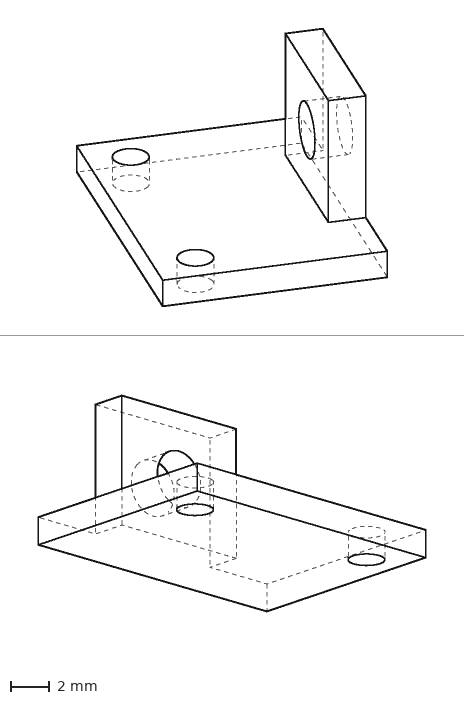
import cadquery as cq

base_length = 16.0
base_width = 12.0
base_thickness = 1.5

total_height = 8.5
tab_length = base_length / 2
tab_thickness = 2.0
tab_hole_diameter = 3.0
tab_hole_height = 4.88

mount_hole_diameter = 1.89
mount_hole_side_inset = 2.0
mount_hole_front_inset = 2.32


def make_base():
    """Flat plate with its front edge on Y = 0, centred on X = 0."""
    return cq.Workplane("XY").box(
        base_length, base_width, base_thickness, centered=(True, False, False)
    )


def make_tab():
    """Upright tab standing on the rear edge, with a hole through it along Y."""
    tab_height = total_height - base_thickness
    tab = (
        cq.Workplane("XY")
        .box(tab_length, tab_thickness, tab_height, centered=(True, False, False))
        .translate((0, base_width - tab_thickness, base_thickness))
    )
    bore = (
        cq.Workplane("XZ", origin=(0, base_width, tab_hole_height))
        .circle(tab_hole_diameter / 2)
        .extrude(tab_thickness)
    )
    return tab.cut(bore)


def make_mount_holes():
    """Pair of vertical cylinders to cut through the base."""
    hole_x = base_length / 2 - mount_hole_side_inset
    return (
        cq.Workplane("XY")
        .pushPoints([(side * hole_x, mount_hole_front_inset) for side in (-1, 1)])
        .circle(mount_hole_diameter / 2)
        .extrude(base_thickness)
    )


result = make_base().union(make_tab()).cut(make_mount_holes())